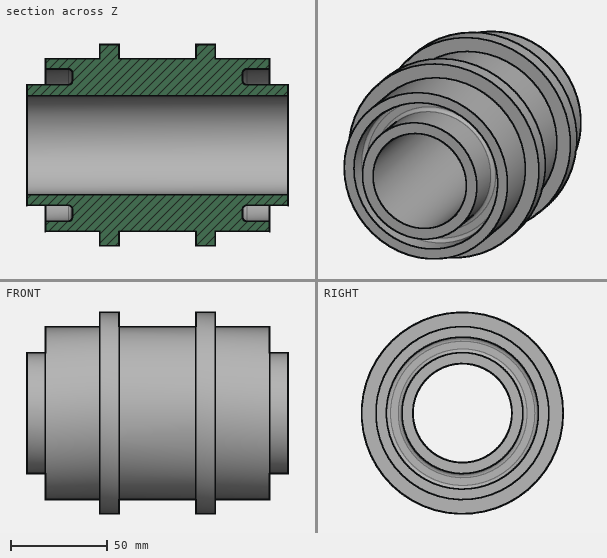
import cadquery as cq

length = 136.0
bore_diameter = 51.4
tube_diameter = 63.0

end_step = 9.7
shell_diameter = 90.0
shell_length = length - 2 * end_step

flange_diameter = 105.0
flange_width = 10.0
flange_gap = 40.0

recess_diameter = 79.2
recess_depth = 14.0
recess_fillet = 2.0


def cylinder(diameter, start_x, width):
    """Solid cylinder along X, beginning at start_x."""
    return cq.Workplane("YZ", origin=(start_x, 0, 0)).circle(diameter / 2).extrude(width)


def recess(start_x):
    """Ring to cut away, with both edges of its inward end rounded."""
    ring = cylinder(recess_diameter, start_x, recess_depth)
    ring = ring.cut(cylinder(tube_diameter, start_x, recess_depth))
    inward_face = ">X" if start_x < 0 else "<X"
    return ring.faces(inward_face).edges().fillet(recess_fillet)


result = cylinder(tube_diameter, -length / 2, length)
result = result.union(cylinder(shell_diameter, -shell_length / 2, shell_length))

for flange_start in (-flange_gap / 2 - flange_width, flange_gap / 2):
    result = result.union(cylinder(flange_diameter, flange_start, flange_width))

for recess_start in (-shell_length / 2, shell_length / 2 - recess_depth):
    result = result.cut(recess(recess_start))

result = result.cut(cylinder(bore_diameter, -length / 2, length))